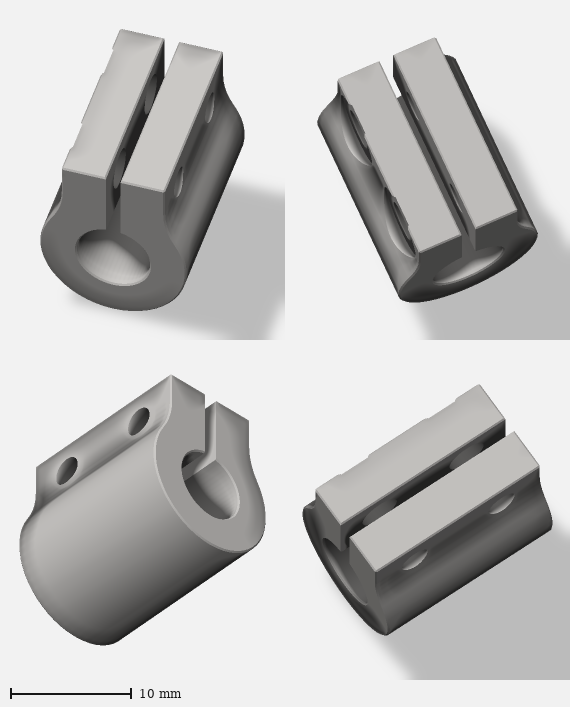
import cadquery as cq
import math

length = 16.57
height = 15.82
body_radius = 6.338
bore_radius = 3.16
neck_half_width = 4.47
neck_fillet_radius = 6.33
slot_width = 1.26
edge_chamfer = 0.13

screw_pitch = 8.73
screw_drop = 2.85
thread_diameter = 2.6
clearance_diameter = 3.45
counterbore_diameter = 6.31
counterbore_depth = 0.2

top_z = height - body_radius
screw_z = top_z - screw_drop

arc_center_x = neck_half_width + neck_fillet_radius
arc_center_z = math.sqrt((body_radius + neck_fillet_radius) ** 2 - arc_center_x ** 2)
arc_angle = math.atan2(arc_center_z, arc_center_x)
join_x = body_radius * math.cos(arc_angle)
join_z = body_radius * math.sin(arc_angle)
arc_mid_x = arc_center_x - neck_fillet_radius * math.cos(arc_angle / 2)
arc_mid_z = arc_center_z - neck_fillet_radius * math.sin(arc_angle / 2)


def clamp_body():
    """Round body with a neck and a through bore, chamfered on its outer edges."""
    body = (
        cq.Workplane("XZ")
        .moveTo(-neck_half_width, top_z)
        .lineTo(neck_half_width, top_z)
        .lineTo(neck_half_width, arc_center_z)
        .threePointArc((arc_mid_x, arc_mid_z), (join_x, join_z))
        .threePointArc((0, -body_radius), (-join_x, join_z))
        .threePointArc((-arc_mid_x, arc_mid_z), (-neck_half_width, arc_center_z))
        .close()
        .extrude(length / 2, both=True)
    )
    bore = cq.Workplane("XZ").circle(bore_radius).extrude(length / 2, both=True)
    return body.cut(bore).faces("<Y or >Y or >Z").edges().chamfer(edge_chamfer)


def cut_slot(body):
    """Split the neck from the top face down to the bore and break the slot's top edges."""
    slot = cq.Workplane("XY").box(slot_width, length, top_z, centered=(True, True, False))
    mouth = (
        cq.Workplane("XZ")
        .moveTo(-slot_width / 2 - edge_chamfer, top_z)
        .lineTo(slot_width / 2 + edge_chamfer, top_z)
        .lineTo(slot_width / 2, top_z - edge_chamfer)
        .lineTo(-slot_width / 2, top_z - edge_chamfer)
        .close()
        .extrude(length / 2, both=True)
    )
    return body.cut(slot).cut(mouth)


def screw_cylinder(diameter, start_x, end_x, y):
    """Cylinder along X on the axis of the screw at the given Y."""
    return (
        cq.Workplane("YZ", origin=(start_x, y, screw_z))
        .circle(diameter / 2)
        .extrude(end_x - start_x)
    )


def cut_screw(body, y):
    """Counterbore and clearance hole in the -X leg, thread-size hole in the +X leg."""
    seat_x = -neck_half_width + counterbore_depth
    return (
        body.cut(screw_cylinder(counterbore_diameter, -body_radius, seat_x, y))
        .cut(screw_cylinder(clearance_diameter, -body_radius, 0, y))
        .cut(screw_cylinder(thread_diameter, 0, body_radius, y))
    )


result = cut_slot(clamp_body())
for screw_y in (-screw_pitch / 2, screw_pitch / 2):
    result = cut_screw(result, screw_y)